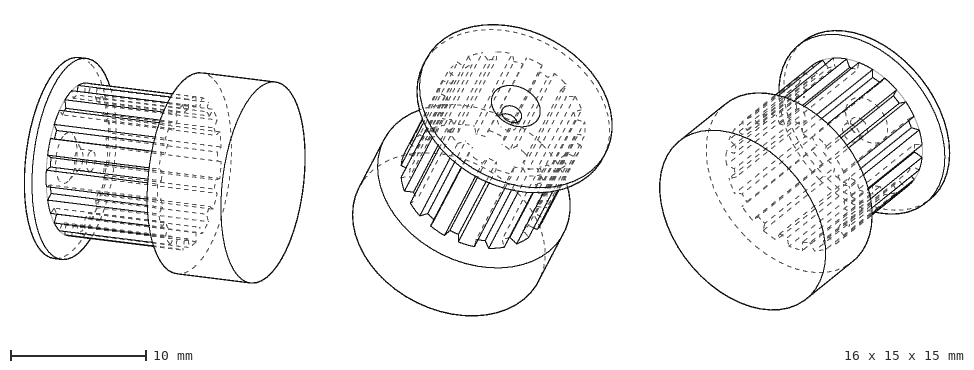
import cadquery as cq
import math

total_length = 16.0
outer_diameter = 15.0
flange_rim_width = 0.63
flange_width = 0.96
toothed_end = 10.0

tooth_count = 15
tip_radius = 5.7
groove_depth = 0.7
groove_mouth_half_angle = 5.65
groove_floor_half_angle = 4.0

countersink_diameter = 3.8
countersink_depth = 1.0
pilot_diameter = 1.55
pilot_depth = 2.0
drill_point_angle = 150.0

outer_radius = outer_diameter / 2
root_radius = tip_radius - groove_depth
tooth_pitch_angle = 360.0 / tooth_count


def polar(radius, degrees):
    """Point on the YZ plane, with the angle measured from -Y toward +Z."""
    angle = math.radians(degrees)
    return (-radius * math.cos(angle), radius * math.sin(angle))


def revolve_about_x(profile_points):
    """Solid of revolution from (X, radius) points."""
    profile = cq.Workplane("XY").polyline(profile_points).close()
    return profile.revolve(360, (0, 0, 0), (1, 0, 0))


def make_flange():
    """Thin disc whose inner side tapers down to the tooth tips."""
    return revolve_about_x([
        (0, 0),
        (0, outer_radius),
        (flange_rim_width, outer_radius),
        (flange_width, tip_radius),
        (flange_width, 0),
    ])


def make_toothed_section():
    """Toothed drum; one tooth is centered on the -Y direction."""
    tooth_half_angle = tooth_pitch_angle / 2 - groove_mouth_half_angle
    outline = cq.Workplane("YZ", origin=(flange_width, 0, 0))
    outline = outline.moveTo(*polar(tip_radius, -tooth_half_angle))
    for index in range(tooth_count):
        tooth_center = index * tooth_pitch_angle
        groove_center = tooth_center + tooth_pitch_angle / 2
        next_tooth_start = groove_center + groove_mouth_half_angle
        outline = outline.threePointArc(
            polar(tip_radius, tooth_center),
            polar(tip_radius, tooth_center + tooth_half_angle),
        )
        outline = outline.lineTo(*polar(root_radius, groove_center - groove_floor_half_angle))
        outline = outline.threePointArc(
            polar(root_radius, groove_center),
            polar(root_radius, groove_center + groove_floor_half_angle),
        )
        if index < tooth_count - 1:
            outline = outline.lineTo(*polar(tip_radius, next_tooth_start))
    return outline.close().extrude(toothed_end - flange_width)


def make_hub():
    """Plain cylinder at the far end of the teeth."""
    hub = cq.Workplane("YZ", origin=(toothed_end, 0, 0)).circle(outer_radius)
    return hub.extrude(total_length - toothed_end)


def make_center_hole():
    """Countersink, straight pilot and conical drill point."""
    countersink_radius = countersink_diameter / 2
    pilot_radius = pilot_diameter / 2
    drill_point_length = pilot_radius / math.tan(math.radians(drill_point_angle / 2))
    return revolve_about_x([
        (0, 0),
        (0, countersink_radius),
        (countersink_depth, pilot_radius),
        (pilot_depth, pilot_radius),
        (pilot_depth + drill_point_length, 0),
    ])


pulley = make_flange().union(make_toothed_section()).union(make_hub())
result = pulley.cut(make_center_hole())